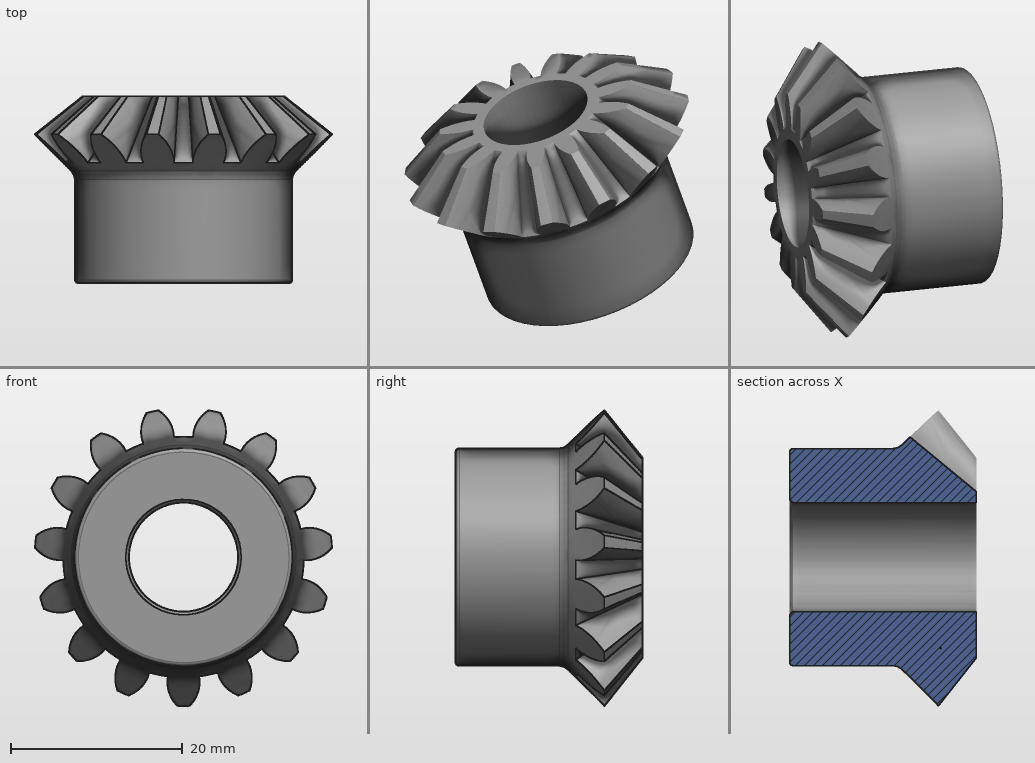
import cadquery as cq
import math

tooth_count = 15
tooth_pitch = 360 / tooth_count
total_length = 21.8

hub_radius = 12.7
hub_edge_fillet = 0.4
neck_fillet = 1.42
bore_radius = 6.35
bore_chamfer = 0.38

tip_radius = 17.37
tip_y = 17.37
root_radius = 14.05
front_tip_radius = 11.75

face_slope = (total_length - tip_y) / (tip_radius - front_tip_radius)
apex_y = tip_y + tip_radius * face_slope


def back_cone_y(radius):
    """Axial position of the back cone at a given radius."""
    return tip_y - (tip_radius - radius)


root_y = back_cone_y(root_radius)
neck_y = back_cone_y(hub_radius)

axial_overshoot = 0.7
ring_clearance = 3.47
stock_end_y = total_length + axial_overshoot

flank_base = (1.85, 13.9)
flank_shoulder = (1.85, 15.25)
flank_middle = (1.42, 16.4)
flank_tip = (0.73, 17.35)
crest_overshoot = 4.85
root_overlap = 1.05


def revolve_about_axis(points):
    return cq.Workplane("XY").polyline(points).close().revolve(360, (0, 0, 0), (0, 1, 0))


def make_blank():
    """Hub and toothless gear blank, with the neck fillet and the rounded hub edge."""
    blank = revolve_about_axis([
        (0, 0),
        (hub_radius, 0),
        (hub_radius, neck_y),
        (tip_radius, tip_y),
        (front_tip_radius, total_length),
        (0, total_length),
    ])
    neck_centre = (0, neck_y, 0)
    neck_edge = cq.selectors.NearestToPointSelector(neck_centre)
    blank = blank.edges("%CIRCLE").edges(neck_edge).fillet(neck_fillet)
    return blank.faces("<Y").edges().fillet(hub_edge_fillet)


def root_cone_radius(y):
    """Radius of the root cone at axial position y."""
    return root_radius * (apex_y - y) / (apex_y - root_y)


def make_root_ring():
    """Ring outside the root cone, from which the tooth stock is spared."""
    outer_radius = tip_radius + ring_clearance
    return revolve_about_axis([
        (root_cone_radius(neck_y), neck_y),
        (outer_radius, neck_y),
        (outer_radius, stock_end_y),
        (root_cone_radius(stock_end_y), stock_end_y),
    ])


def tooth_section(y):
    """Tooth outline at axial position y, scaled toward the apex."""
    def project(point):
        half_width, height = point
        factor = (apex_y - y) / (apex_y - back_cone_y(math.hypot(half_width, height)))
        return half_width * factor, height * factor

    def at(half_width, height):
        return cq.Vector(half_width, y, height)

    base_x, base_z = project(flank_base)
    shoulder = project(flank_shoulder)
    middle = project(flank_middle)
    tip_x, tip_z = project(flank_tip)
    bottom_z = base_z - root_overlap
    top_z = tip_z + crest_overshoot

    def flank(side):
        base_point = at(side * base_x, base_z)
        shoulder_point = at(side * shoulder[0], shoulder[1])
        middle_point = at(side * middle[0], middle[1])
        tip_point = at(side * tip_x, tip_z)
        return [
            cq.Edge.makeLine(at(side * base_x, bottom_z), base_point),
            cq.Edge.makeSpline([base_point, shoulder_point, middle_point, tip_point]),
            cq.Edge.makeLine(tip_point, at(side * tip_x, top_z)),
        ]

    crest = cq.Edge.makeLine(at(tip_x, top_z), at(-tip_x, top_z))
    floor = cq.Edge.makeLine(at(-base_x, bottom_z), at(base_x, bottom_z))
    return cq.Wire.assembleEdges(flank(1) + [crest] + flank(-1)[::-1] + [floor])


def make_tooth_stock():
    """One untrimmed tooth, centred on the -Z direction."""
    sections = [tooth_section(neck_y), tooth_section(stock_end_y)]
    stock = cq.Workplane(cq.Solid.makeLoft(sections, True))
    return stock.rotate((0, 0, 0), (0, 1, 0), 180)


def make_tooth_gaps():
    """Material between the teeth."""
    gaps = make_root_ring()
    stock = make_tooth_stock()
    for index in range(tooth_count):
        gaps = gaps.cut(stock.rotate((0, 0, 0), (0, 1, 0), index * tooth_pitch))
    return gaps


def make_bore():
    """Through bore with a chamfered mouth at the hub end."""
    return revolve_about_axis([
        (0, 0),
        (bore_radius + bore_chamfer, 0),
        (bore_radius, bore_chamfer),
        (bore_radius, total_length),
        (0, total_length),
    ])


result = make_blank().cut(make_tooth_gaps()).cut(make_bore())